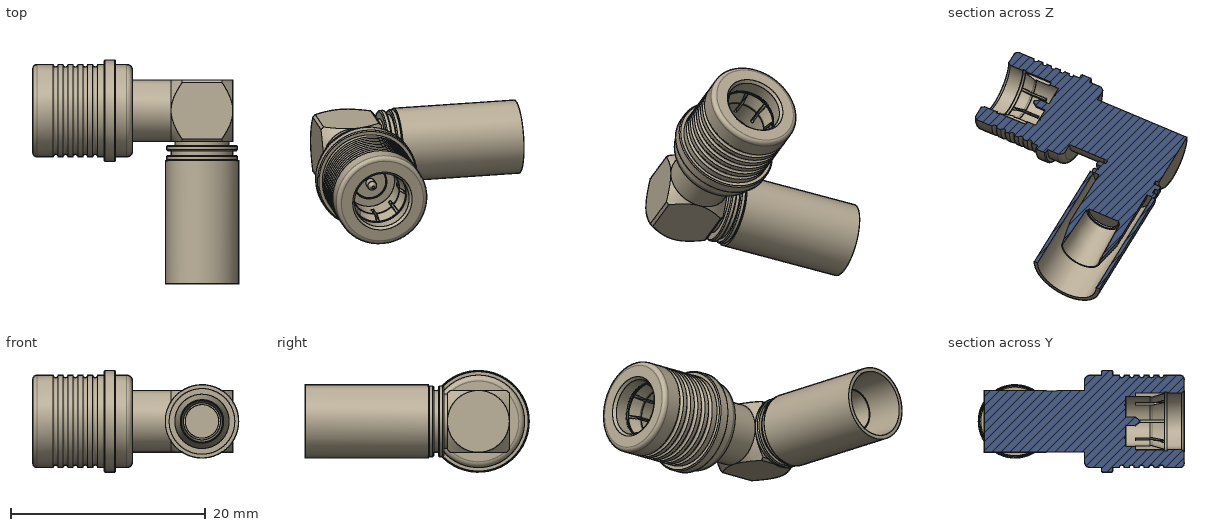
import cadquery as cq


block_size = 6.35
block_half = block_size / 2
branch_x = 17.375
block_edge_chamfer = 0.27

sleeve_radius = 4.75
sleeve_length = 10.25
nose_fillet = 0.45
tail_fillet = 0.6
flange_radius = 5.23
flange_start = 7.32
flange_width = 1.2
flange_chamfer = 0.12
groove_count = 5
groove_start = 2.1
groove_pitch = 1.015
groove_radius = 0.25

mouth_radius = 3.12
bore_radius = 2.87
mouth_depth = 0.3
gap_start = 1.75
gap_radius = 3.0
finger_start = 2.05
finger_length = 1.25
finger_throat_radius = 2.5
throat_length = 0.2
cavity_radius = 2.55
cavity_depth = 6.0
slot_count = 8
slot_end = 5.0
slot_width = 0.28
slot_radius = 2.9

insulator_radius = 1.65
insulator_gap = 0.1
pin_radius = 0.47
pin_length = 1.5
pin_tip_radius = 0.12
pin_tip_length = 0.5

stem_radius = 2.79
crimp_core_radius = 3.18
ridge_radius = 3.64
ridge_chamfer = 0.12
ridge_width = 0.56
ridge_pitch = 1.02
ridge_count = 2
ridge_start = 3.55
tube_start = ridge_start + (ridge_count - 1) * ridge_pitch + ridge_width
tube_end = 17.78
tube_radius = 3.775
tube_bore_radius = 3.37

stem_end = 14.6
stem_taper_length = 3.0
stem_tip_radius = 2.23
stem_mouth_radius = 2.13
stem_bore_end_radius = 1.9
stem_bore_depth = 5.0
stem_floor_radius = 1.72
stem_floor_depth = 0.2


def turned_x(points):
    """Revolve (x, radius) points, closed along the axis, about the X axis."""
    return cq.Workplane("XY").polyline(points).close().revolve(360, (0, 0, 0), (1, 0, 0))


def turned_branch(points):
    """Revolve (radius, distance) points about the branch axis; distance runs toward -Y."""
    outline = [(branch_x + radius, -distance) for radius, distance in points]
    axis_start = (branch_x, 0, 0)
    axis_end = (branch_x, 1, 0)
    return cq.Workplane("XY").polyline(outline).close().revolve(360, axis_start, axis_end)


def cylinder_x(radius, start, end):
    return cq.Workplane("YZ", origin=(start, 0, 0)).circle(radius).extrude(end - start)


def cylinder_branch(radius, start, end):
    plane = cq.Workplane("XZ", origin=(branch_x, -start, 0))
    return plane.circle(radius).extrude(end - start)


def make_sleeve():
    body = cylinder_x(sleeve_radius, 0, sleeve_length)
    body = body.faces("<X").edges().fillet(nose_fillet)
    body = body.faces(">X").edges().fillet(tail_fillet)

    flange = cylinder_x(flange_radius, flange_start, flange_start + flange_width)
    body = body.union(flange.edges().chamfer(flange_chamfer))

    for index in range(groove_count):
        center = groove_start + groove_radius + index * groove_pitch
        profile = cq.Workplane("XY").center(center, sleeve_radius).circle(groove_radius)
        axis_start = (-center, -sleeve_radius, 0)
        axis_end = (1 - center, -sleeve_radius, 0)
        groove = profile.revolve(360, axis_start, axis_end)
        body = body.cut(groove)
    return body


def make_cavity():
    throat_start = finger_start + finger_length
    throat_end = throat_start + throat_length
    cavity = turned_x([
        (0, 0),
        (0, mouth_radius),
        (mouth_depth, bore_radius),
        (gap_start, bore_radius),
        (gap_start, gap_radius),
        (finger_start, gap_radius),
        (finger_start, bore_radius),
        (throat_start, finger_throat_radius),
        (throat_end, finger_throat_radius),
        (throat_end, cavity_radius),
        (cavity_depth, cavity_radius),
        (cavity_depth, 0),
    ])
    for index in range(slot_count // 2):
        angle = index * 360 / slot_count
        blade = (
            cq.Workplane("YZ", origin=(finger_start, 0, 0))
            .rect(2 * slot_radius, slot_width)
            .extrude(slot_end - finger_start)
            .rotate((0, 0, 0), (1, 0, 0), angle)
        )
        cavity = cavity.union(blade)
    return cavity


def make_insulator_gap():
    ring = cq.Workplane("YZ", origin=(cavity_depth, 0, 0))
    return ring.circle(insulator_radius + insulator_gap).circle(insulator_radius).extrude(insulator_gap)


def make_pin():
    pin_start = cavity_depth - pin_length
    return turned_x([
        (pin_start, 0),
        (pin_start, pin_tip_radius),
        (pin_start + pin_tip_length, pin_radius),
        (cavity_depth, pin_radius),
        (cavity_depth, 0),
    ])


def make_block():
    block = cq.Workplane("XY").box(block_size, block_size, block_size)
    block = block.edges("|X").chamfer(block_edge_chamfer)
    cone_peak_radius = 2 * block_half
    envelope = turned_x([
        (-block_half, 0),
        (-block_half, block_half),
        (0, cone_peak_radius),
        (block_half, block_half),
        (block_half, 0),
    ])
    return block.intersect(envelope).translate((branch_x, 0, 0))


def make_stem():
    stem = turned_branch([
        (0, 0),
        (stem_radius, 0),
        (stem_radius, stem_end - stem_taper_length),
        (stem_tip_radius, stem_end),
        (0, stem_end),
    ])
    floor = stem_end - stem_bore_depth
    bore = turned_branch([
        (0, stem_end),
        (stem_mouth_radius, stem_end),
        (stem_bore_end_radius, floor),
        (stem_floor_radius, floor),
        (stem_floor_radius, floor - stem_floor_depth),
        (0, floor - stem_floor_depth),
    ])
    return stem.cut(bore)


def make_crimp():
    crimp = cylinder_branch(crimp_core_radius, ridge_start, tube_start)
    for index in range(ridge_count):
        start = ridge_start + index * ridge_pitch
        ridge = cylinder_branch(ridge_radius, start, start + ridge_width)
        crimp = crimp.union(ridge.edges().chamfer(ridge_chamfer))
    tube = cylinder_branch(tube_radius, tube_start, tube_end)
    tube = tube.cut(cylinder_branch(tube_bore_radius, tube_start, tube_end))
    return crimp.union(tube)


neck = cylinder_x(block_half, sleeve_length, branch_x - block_half)
sleeve = make_sleeve().cut(make_cavity()).cut(make_insulator_gap()).union(make_pin())
result = sleeve.union(neck).union(make_block()).union(make_crimp()).union(make_stem())